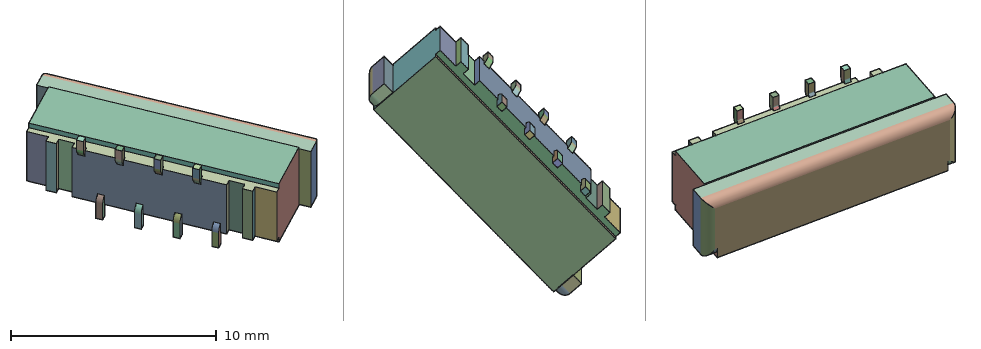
import cadquery as cq
import math


cap_width = 14.2
cap_height = 3.64
cap_depth = 1.28
cap_round = 0.51

body_width = 12.95
body_height = 3.8
base_height = 3.21
back_y = 5.0
cap_front_y = back_y - cap_depth
body_front_y = 0.9
base_front_y = 0.6
pad_front_y = 0.25

pad_width = 8.01
rib_width = 0.54
rib_offset = 5.08

lead_pitch = 2.0
leads_per_row = 4
lead_width = 0.35
lead_thickness = 0.34
lead_span = 4.8
lead_tail = 0.71
row_shift = lead_pitch / 4

upper_bend_z = 1.78
upper_bend_radius = 0.41
upper_bend_angle = 31.0
lower_bend_z = 1.43
lower_bend_radius = 0.48
lower_bend_angle = 62.0


def block(width, height, front_y, rear_y, x=0.0):
    """Box centred on Z and on the given X, running from front_y to rear_y."""
    depth = rear_y - front_y
    return cq.Workplane("XY").box(width, depth, height).translate((x, front_y + depth / 2, 0))


def make_housing():
    cap = block(cap_width, cap_height, cap_front_y, back_y).faces(">Y").edges().fillet(cap_round)
    body = block(body_width, body_height, body_front_y, cap_front_y)
    base = block(body_width, base_height, base_front_y, body_front_y)
    pad = block(pad_width, base_height, pad_front_y, base_front_y)
    housing = cap.union(body).union(base).union(pad)
    for x in (-rib_offset, rib_offset):
        housing = housing.union(block(rib_width, base_height, pad_front_y, base_front_y, x))
    return housing


def make_rail():
    """Strip under the cap that carries the underside of the body to the back face."""
    rail_bottom = -body_height / 2
    rail_top = -cap_height / 2 + cap_round
    rail_height = rail_top - rail_bottom
    rail = block(body_width, rail_height, cap_front_y, back_y)
    return rail.translate((0, 0, (rail_bottom + rail_top) / 2))


def make_lead(bend_z, bend_radius, bend_angle):
    """Upward lead: straight foot, bend, then a tail that slopes down into the base."""
    angle = math.radians(bend_angle)
    tail_y = lead_tail * math.sin(angle)
    tail_z = -lead_tail * math.cos(angle)

    def on_bend(radius, turn):
        return (bend_radius - radius * math.cos(turn), bend_z - radius * math.sin(turn))

    def tail_end(radius):
        y, z = on_bend(radius, angle)
        return (y + tail_y, z + tail_z)

    inner_radius = bend_radius - lead_thickness
    return (
        cq.Workplane("YZ")
        .moveTo(0, lead_span / 2)
        .lineTo(*on_bend(bend_radius, 0))
        .threePointArc(on_bend(bend_radius, angle / 2), on_bend(bend_radius, angle))
        .lineTo(*tail_end(bend_radius))
        .lineTo(*tail_end(inner_radius))
        .lineTo(*on_bend(inner_radius, angle))
        .threePointArc(on_bend(inner_radius, angle / 2), on_bend(inner_radius, 0))
        .lineTo(lead_thickness, lead_span / 2)
        .close()
        .extrude(lead_width / 2, both=True)
    )


upper_lead = make_lead(upper_bend_z, upper_bend_radius, upper_bend_angle)
lower_lead = make_lead(lower_bend_z, lower_bend_radius, lower_bend_angle).mirror("XY")

result = make_housing().union(make_rail())

for i in range(leads_per_row):
    x = (i - (leads_per_row - 1) / 2) * lead_pitch
    result = result.union(upper_lead.translate((x - row_shift, 0, 0)))
    result = result.union(lower_lead.translate((x + row_shift, 0, 0)))